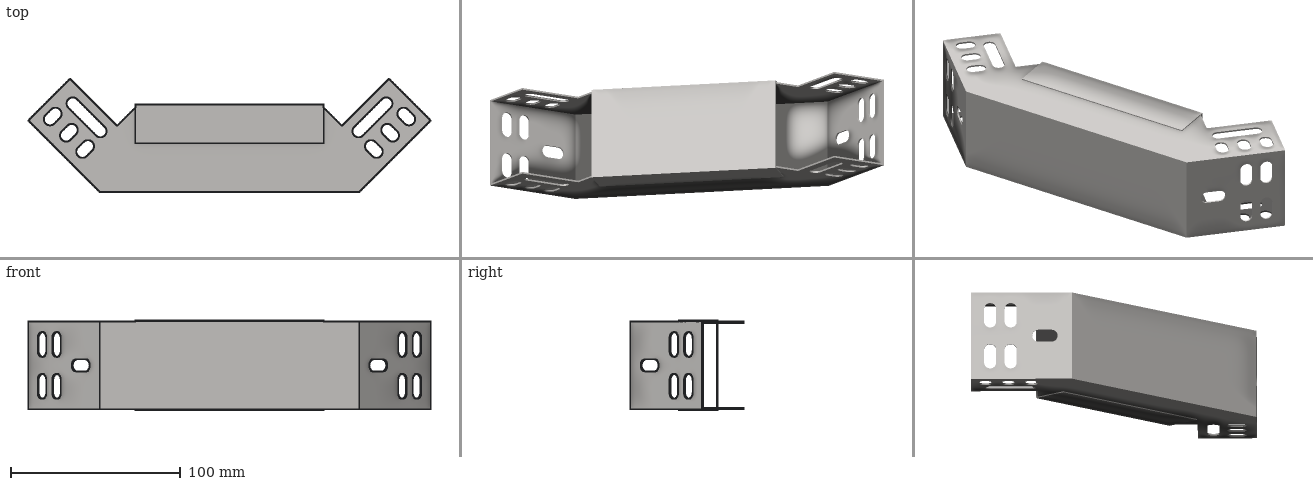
import cadquery as cq
import math

HALF_LENGTH = 118.6
TRAY_HEIGHT = 52.0
TRAY_WALL = 1.0
WING_ANGLE = 45.0
WING_RUN = 42.2
WING_END_RUN = 24.7
NOTCH_RUN = 27.8

COVER_LENGTH = 110.8
COVER_DEPTH = 23.0
COVER_WALL = 0.6
COVER_BACK = 51.7

SLOT_WIDTH = 7.0
WALL_SLOT_LENGTH = 14.7
WALL_SLOT_PLACES = (11.5, 23.5)
WALL_SLOT_RISE = 12.3
CROSS_SLOT_LENGTH = 15.0
CROSS_SLOT_PLACE = 43.7
FLANGE_SLOT_LENGTH = 11.6
FLANGE_SLOT_PLACES = (8.5, 22.0, 35.5)
FLANGE_SLOT_INSET = 11.9
LONG_SLOT_LENGTH = 30.1
LONG_SLOT_PLACE = 23.0
LONG_SLOT_INSET = 25.6

CORNER_X = HALF_LENGTH - WING_RUN
TIP_X = HALF_LENGTH - WING_END_RUN
TIP_Y = WING_RUN + WING_END_RUN
NOTCH_X = TIP_X - NOTCH_RUN
NOTCH_Y = TIP_Y - NOTCH_RUN
FLANGE_BACK = COVER_BACK - COVER_WALL
FLANGE_BACK_X = NOTCH_X - (FLANGE_BACK - NOTCH_Y)


def tray_blank():
    """Plan outline of the tray, full height and centred on mid height."""
    right_half = [
        (CORNER_X, 0),
        (HALF_LENGTH, WING_RUN),
        (TIP_X, TIP_Y),
        (NOTCH_X, NOTCH_Y),
        (FLANGE_BACK_X, FLANGE_BACK),
    ]
    left_half = [(-x, y) for x, y in reversed(right_half)]
    return (
        cq.Workplane("XY")
        .polyline(right_half + left_half)
        .close()
        .extrude(TRAY_HEIGHT / 2, both=True)
    )


def tray_cavity():
    """Space inside the walls and flanges, open at the back and at both wing ends."""
    inner_corner = CORNER_X - TRAY_WALL * math.tan(math.radians(WING_ANGLE / 2))
    reach = HALF_LENGTH
    return (
        cq.Workplane("XY")
        .polyline([
            (-inner_corner, TRAY_WALL),
            (inner_corner, TRAY_WALL),
            (inner_corner + reach, TRAY_WALL + reach),
            (-inner_corner - reach, TRAY_WALL + reach),
        ])
        .close()
        .extrude(TRAY_HEIGHT / 2 - TRAY_WALL, both=True)
    )


def left_wing_slots():
    """Slot cutters of the left wing.

    Modelled with the wing end at the origin, the wing along +X and its inside
    toward +Y, then turned and moved onto the wing.
    """
    wall_slots = (
        cq.Workplane("XZ")
        .pushPoints([(x, z) for x in WALL_SLOT_PLACES for z in (-WALL_SLOT_RISE, WALL_SLOT_RISE)])
        .slot2D(WALL_SLOT_LENGTH, SLOT_WIDTH, 90)
        .extrude(2 * TRAY_WALL, both=True)
    )
    cross_slot = (
        cq.Workplane("XZ")
        .center(CROSS_SLOT_PLACE, 0)
        .slot2D(CROSS_SLOT_LENGTH, SLOT_WIDTH)
        .extrude(2 * TRAY_WALL, both=True)
    )
    flange_slots = (
        cq.Workplane("XY")
        .pushPoints([(x, FLANGE_SLOT_INSET) for x in FLANGE_SLOT_PLACES])
        .slot2D(FLANGE_SLOT_LENGTH, SLOT_WIDTH, 90)
        .extrude(TRAY_HEIGHT, both=True)
    )
    long_slot = (
        cq.Workplane("XY")
        .center(LONG_SLOT_PLACE, LONG_SLOT_INSET)
        .slot2D(LONG_SLOT_LENGTH, SLOT_WIDTH)
        .extrude(TRAY_HEIGHT, both=True)
    )
    cutters = []
    for slots in (wall_slots, cross_slot, flange_slots, long_slot):
        turned = slots.rotate((0, 0, 0), (0, 0, 1), -WING_ANGLE)
        cutters.append(turned.translate((-HALF_LENGTH, WING_RUN, 0)))
    return cutters


def make_tray():
    body = tray_blank().cut(tray_cavity())
    for cutter in left_wing_slots():
        body = body.cut(cutter).cut(cutter.mirror("YZ"))
    return body


def make_cover():
    """Back wall with a flange lying on the top and on the bottom of the tray."""
    front = COVER_BACK - COVER_DEPTH
    outside = cq.Workplane("XY").box(
        COVER_LENGTH, COVER_DEPTH, TRAY_HEIGHT + 2 * COVER_WALL, centered=(True, False, True)
    )
    inside = cq.Workplane("XY").box(
        COVER_LENGTH, COVER_DEPTH - COVER_WALL, TRAY_HEIGHT, centered=(True, False, True)
    )
    return outside.cut(inside).translate((0, front, 0))


tray = make_tray()
cover = make_cover()

result = cq.Compound.makeCompound([tray.solids().val(), cover.solids().val()])